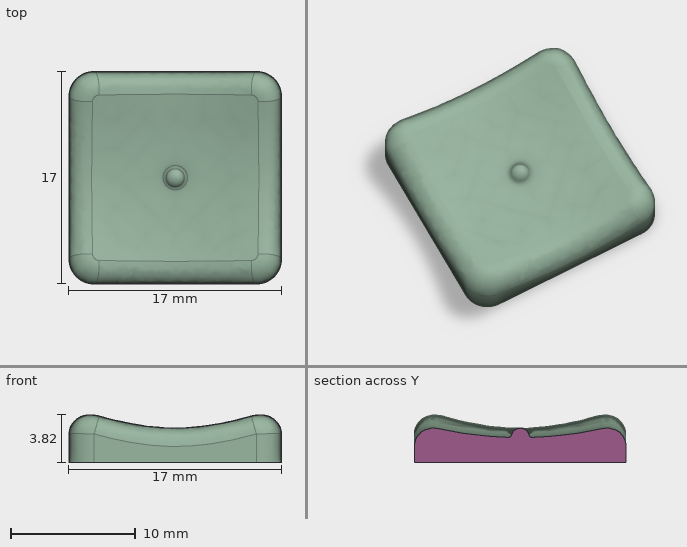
import cadquery as cq

side = 17.0
half_side = side / 2
corner_radius = 2.0
block_height = 8.5

dish_floor = 2.02
edge_rise = 1.17
corner_extra_rise = 0.53
dish_overlap = 1.1
grid_steps = 8
surface_tolerance = 0.001
rim_radius = 1.5

pip_radius = 0.75
pip_foot_fillet = 0.25


def levelling_profile(t):
    """Blend from 0 at the centre to 1 at the side, arriving level."""
    return t**2 * (2 - t**2)


def dish_point(u, v):
    """Point on the dish, with u and v running from -1 to 1 across the block."""
    corner_lift = corner_extra_rise * levelling_profile(u) * levelling_profile(v)
    rise = edge_rise * (u**2 + v**2) + corner_lift
    return cq.Vector(half_side * u, half_side * v, dish_floor + rise)


def dish_cutter():
    """Everything above the smooth dish surface."""
    steps = [dish_overlap * i / grid_steps for i in range(-grid_steps, grid_steps + 1)]
    surface = cq.Face.makeSplineApprox([[dish_point(u, v) for v in steps] for u in steps], tol=surface_tolerance)
    return cq.Workplane(cq.Solid.extrudeLinear(surface, cq.Vector(0, 0, block_height)))


def dished_block():
    """Rounded square block with a dished top and a rounded rim."""
    block = cq.Workplane("XY").rect(side, side).extrude(block_height)
    block = block.edges("|Z").fillet(corner_radius)
    return block.cut(dish_cutter()).faces("%BSPLINE").edges().fillet(rim_radius)


def add_pip(body):
    """Add the central ball and blend its foot into the dish."""
    ball = cq.Workplane("XY").sphere(pip_radius).translate((0, 0, dish_floor))
    reach = pip_radius + pip_foot_fillet
    foot = cq.selectors.BoxSelector(
        (-reach, -reach, dish_floor - pip_radius / 2),
        (reach, reach, dish_floor + pip_radius / 2),
        boundingbox=True,
    )
    return body.union(ball).edges(foot).fillet(pip_foot_fillet)


result = add_pip(dished_block())